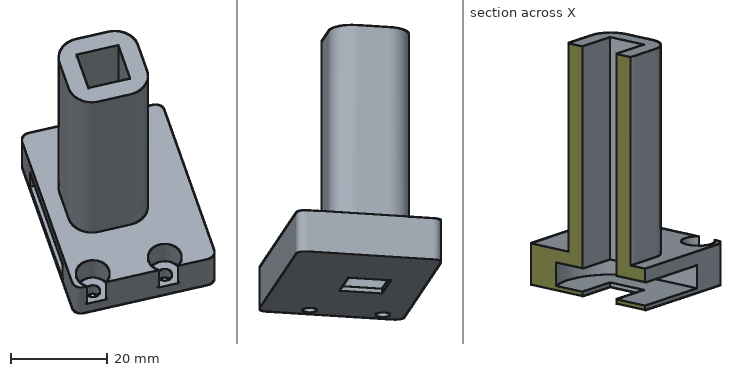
import cadquery as cq

base_length = 41.75
base_width = 30.7
base_height = 9.0
base_corner_radius = 1.95

total_height = 54
post_side = 16.95
post_corner_radius = 5.0
bore_side = 9.0
post_x = 20.25
post_y = 12.3

pocket_width = 24.9
pocket_height = 4.95
pocket_floor = 1.0

screw_diameter = 3.0
counterbore_diameter = 7
counterbore_depth = 6.0
screw_edge_distance = 2.85
screw_spacing = 15.55
screw_pair_y = 12.55


def make_body():
    """Rounded base block with the rounded square post on top."""
    base = (
        cq.Workplane("XY")
        .box(base_length, base_width, base_height, centered=False)
        .edges("|Z")
        .fillet(base_corner_radius)
    )
    post = (
        cq.Workplane("XY")
        .center(post_x, post_y)
        .rect(post_side, post_side)
        .extrude(total_height)
        .edges("|Z")
        .fillet(post_corner_radius)
    )
    return base.union(post)


def make_bore():
    """Square passage through the post and base."""
    return (
        cq.Workplane("XY")
        .center(post_x, post_y)
        .rect(bore_side, bore_side)
        .extrude(total_height)
    )


def make_pocket():
    """Straight-sided pocket ending in a half circle around the post axis."""
    radius = pocket_width / 2
    return (
        cq.Workplane("XY", origin=(post_x, 0, pocket_floor))
        .moveTo(-radius, 0)
        .lineTo(-radius, post_y)
        .threePointArc((0, post_y + radius), (radius, post_y))
        .lineTo(radius, 0)
        .close()
        .extrude(pocket_height)
    )


def cut_screw_holes(body):
    """Two counterbored holes spaced evenly about their own centre line."""
    screw_x = base_length - screw_edge_distance
    for side in (-1, 1):
        screw_y = screw_pair_y + side * screw_spacing / 2
        plane = cq.Workplane("XY", origin=(screw_x, screw_y, 0))
        hole = plane.circle(screw_diameter / 2).extrude(base_height)
        counterbore = (
            plane.workplane(offset=base_height - counterbore_depth)
            .circle(counterbore_diameter / 2)
            .extrude(counterbore_depth)
        )
        body = body.cut(hole).cut(counterbore)
    return body


body = make_body().cut(make_bore()).cut(make_pocket())
result = cut_screw_holes(body)